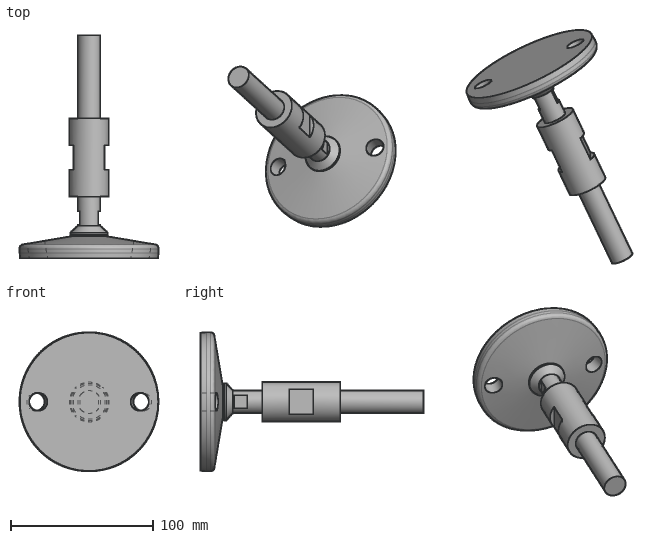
import cadquery as cq
import math

total_length = 157.0

plate_diameter = 98.0
bottom_diameter = 97.2
rim_taper_height = 4.1
plate_height = 15.7
plate_top_diameter = 24.2
cone_angle = 9.5
shoulder_radius = 3.1
hole_diameter = 12.5
hole_offset = 35.6

rod_diameter = 16.0
collar_diameter = 26.4
collar_chamfer = 1.1
collar_band_height = 1.4
collar_top = 23.0
rod_flat_start = 23.7
rod_flat_length = 9.4
rod_across_flats = 13.0

sleeve_diameter = 28.0
sleeve_start = 43.5
sleeve_length = 55.0
sleeve_flat_length = 17.1
sleeve_across_flats = 22.0


def revolve_about_y(points):
    """Turn a closed (radius, Y) outline around the Y axis."""
    return cq.Workplane("XY").polyline(points).close().revolve(360, (0, 0), (0, 1))


def rod_along_y(diameter, start, length):
    solid = cq.Solid.makeCylinder(diameter / 2, length, cq.Vector(0, start, 0), cq.Vector(0, 1, 0))
    return cq.Workplane(obj=solid)


def cut_flats(body, diameter, across_flats, start, length):
    """Cut a pair of parallel wrench flats facing +X and -X."""
    depth = (diameter - across_flats) / 2
    for side in (-1, 1):
        middle = (side * (across_flats + depth) / 2, start + length / 2, 0)
        body = body.cut(cq.Workplane("XY").box(depth, length, diameter).translate(middle))
    return body


def make_base_plate():
    rim_radius = plate_diameter / 2
    top_radius = plate_top_diameter / 2
    shoulder_height = plate_height - (rim_radius - top_radius) * math.tan(math.radians(cone_angle))
    plate = revolve_about_y([
        (0, 0),
        (bottom_diameter / 2, 0),
        (rim_radius, rim_taper_height),
        (rim_radius, shoulder_height),
        (top_radius, plate_height),
        (0, plate_height),
    ])
    shoulder_edges = [
        edge for edge in plate.edges("%CIRCLE").vals()
        if abs(edge.Center().y - shoulder_height) < shoulder_radius / 10
    ]
    plate = plate.newObject(shoulder_edges).fillet(shoulder_radius)

    lean = math.radians(cone_angle)
    for side in (-1, 1):
        direction = cq.Vector(side * math.sin(lean), math.cos(lean), 0)
        start = cq.Vector(side * hole_offset, 0, 0) - direction * plate_height
        drill = cq.Solid.makeCylinder(hole_diameter / 2, 3 * plate_height, start, direction)
        plate = plate.cut(cq.Workplane(obj=drill))
    return plate


def make_spindle():
    collar_radius = collar_diameter / 2
    band_start = plate_height + collar_chamfer
    collar = revolve_about_y([
        (0, plate_height),
        (collar_radius - collar_chamfer, plate_height),
        (collar_radius, band_start),
        (collar_radius, band_start + collar_band_height),
        (rod_diameter / 2, collar_top),
        (0, collar_top),
    ])
    rod = rod_along_y(rod_diameter, collar_top, total_length - collar_top)
    rod = cut_flats(rod, rod_diameter, rod_across_flats, rod_flat_start, rod_flat_length)

    sleeve = rod_along_y(sleeve_diameter, sleeve_start, sleeve_length)
    flat_start = sleeve_start + (sleeve_length - sleeve_flat_length) / 2
    sleeve = cut_flats(sleeve, sleeve_diameter, sleeve_across_flats, flat_start, sleeve_flat_length)
    return collar.union(rod).union(sleeve)


base_plate = make_base_plate()
spindle = make_spindle()
result = cq.Compound.makeCompound([base_plate.val(), spindle.val()])